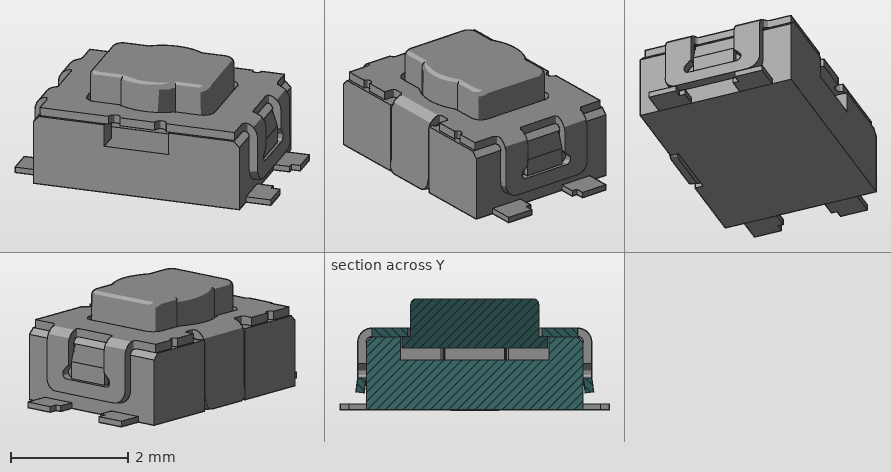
import cadquery as cq
import math

housing_length = 3.705
housing_width = 2.8
housing_top = 1.25
housing_chamfer = 0.1
half_length = housing_length / 2
half_width = housing_width / 2
channel_width = 1.16
channel_floor = 0.855
channel_rear_wall = 0.09
tab_side_gap = 0.02
cavity_gap = 0.025

latch_width = 0.75
latch_reach = 0.095
latch_bottom = 0.555
latch_slope_bottom = 0.855

sheet = 0.145
cover_top = housing_top + sheet
cover_length = housing_length - 2 * housing_chamfer
cover_width = 2.705
front_scallop_radius = 0.1
front_scallop_x = 0.415
rear_scallop_radius = 0.08
rear_scallop_x = 1.26
rear_notch_width = 1.525
rear_notch_depth = 0.202
notch_corner_radius = 0.065

lip_length = 0.24
strap_width = 1.75
strap_lip_start = 0.545
strap_lip_angle = 8
strap_lip_radius = 0.225
strap_root_radius = 0.1
window_width = 0.8
window_bottom = 0.547
window_root_radius = 0.055
lobe_y = 0.435
lobe_radius = 0.087
tab_width = 1.03
tab_lip_start = 0.255
tab_lip_angle = 12
tab_lip_radius = 0.15
tab_root_radius = 0.06

button_length = 2.195
button_flat_width = 1.515
button_bulge_radius = 0.9
button_corner_radius = 0.202
button_top = 1.9
button_top_radius = 0.1
button_gap = 0.05
flange_length = 2.485
flange_width = 1.98
flange_bottom = 1.055
plunger_radius = 0.37
plunger_length = 2 * plunger_radius
plunger_rise = 0.1

terminal_tip = 2.3
terminal_thickness = 0.1
terminal_outer_y = 1.05
terminal_inner_y = 0.547
terminal_root_inner_y = 0.445
terminal_step = 0.155


def block(x_range, y_range, z_range):
    """Box spanning the given (low, high) range on each axis."""
    size = [high - low for low, high in (x_range, y_range, z_range)]
    return cq.Workplane("XY").box(*size, centered=False).translate((x_range[0], y_range[0], z_range[0]))


def centered_block(length, width, bottom, top):
    return block((-length / 2, length / 2), (-width / 2, width / 2), (bottom, top))


def button_prism(gap, bottom, top):
    """Rounded rectangle with a round bulge front and back, grown outward by gap."""
    flat = centered_block(button_length + 2 * gap, button_flat_width + 2 * gap, bottom, top)
    flat = flat.edges("|Z").fillet(button_corner_radius)
    bulge = cq.Workplane("XY").workplane(offset=bottom).circle(button_bulge_radius + gap).extrude(top - bottom)
    return flat.union(bulge)


def make_latch():
    """Wedge on the +X end that snaps into the window of the cover strap."""
    outer_x = half_length + latch_reach
    profile = [
        (half_length, latch_bottom),
        (outer_x, latch_bottom),
        (outer_x, latch_slope_bottom),
        (half_length, housing_top - housing_chamfer),
    ]
    return cq.Workplane("XZ").polyline(profile).close().extrude(latch_width / 2, both=True)


def make_housing():
    body = centered_block(housing_length, housing_width, 0, housing_top)
    body = body.faces(">Z").edges("|Y").chamfer(housing_chamfer)

    channel_x = (-channel_width / 2, channel_width / 2)
    body = body.cut(block(channel_x, (-half_width, half_width - channel_rear_wall), (channel_floor, housing_top)))
    body = body.cut(
        centered_block(flange_length + 2 * cavity_gap, flange_width + 2 * cavity_gap, channel_floor, housing_top)
    )

    slot_half = tab_width / 2 + tab_side_gap
    body = body.cut(block((-slot_half, slot_half), (half_width - sheet, half_width), (0, housing_top)))

    latch = make_latch()
    return body.union(latch).union(latch.mirror("YZ"))


def strap_blank(root, outer, lip_start, lip_angle, width):
    """Sheet bent down along X: bend that starts at the root, straight run and flared lip."""
    angle = math.radians(lip_angle)
    bend_radius = outer - root
    bend_z = cover_top - bend_radius
    inner_radius = bend_radius - sheet
    diagonal = math.sqrt(0.5)
    lip_x = outer + lip_length * math.sin(angle)
    lip_z = lip_start - lip_length * math.cos(angle)
    return (
        cq.Workplane("XZ")
        .moveTo(root, cover_top)
        .threePointArc(
            (root + bend_radius * diagonal, bend_z + bend_radius * diagonal),
            (outer, bend_z),
        )
        .lineTo(outer, lip_start)
        .lineTo(lip_x, lip_z)
        .lineTo(lip_x - sheet * math.cos(angle), lip_z - sheet * math.sin(angle))
        .lineTo(outer - sheet, lip_start)
        .lineTo(outer - sheet, bend_z)
        .threePointArc(
            (root + inner_radius * diagonal, bend_z + inner_radius * diagonal),
            (root, cover_top - sheet),
        )
        .close()
        .extrude(width / 2, both=True)
    )


def root_fillet(root, edge_y, radius, side):
    """Vertical prism filling the inside corner between the plate edge and a strap edge."""
    far_y = edge_y + side * radius
    middle = radius * (1 - math.sqrt(0.5))
    return (
        cq.Workplane("XY")
        .moveTo(root, edge_y)
        .lineTo(root + radius, edge_y)
        .threePointArc((root + middle, edge_y + side * middle), (root, far_y))
        .close()
        .extrude(cover_top)
    )


def window_cutter(outer):
    """Strap window with a round lobe at each lower corner, cut through in X."""
    half = window_width / 2
    lobe_z = window_bottom + lobe_radius
    tangent_y = lobe_y + lobe_radius * math.sqrt(0.5)
    tangent_z = lobe_z + lobe_radius * math.sqrt(0.5)
    neck_z = tangent_z + tangent_y - half
    lobe_side_y = lobe_y + lobe_radius
    return (
        cq.Workplane("YZ")
        .moveTo(half, cover_top)
        .lineTo(half, neck_z)
        .lineTo(tangent_y, tangent_z)
        .threePointArc((lobe_side_y, lobe_z), (lobe_y, window_bottom))
        .lineTo(-lobe_y, window_bottom)
        .threePointArc((-lobe_side_y, lobe_z), (-tangent_y, tangent_z))
        .lineTo(-half, neck_z)
        .lineTo(-half, cover_top)
        .close()
        .extrude(outer)
    )


def add_root_fillets(strap, blank, root, half, radius, side):
    """Fill the root corners at y = +half and -half; side +1 fills outward, -1 inward."""
    for sign in (1, -1):
        strap = strap.union(root_fillet(root, sign * half, radius, sign * side).intersect(blank))
    return strap


def trim_strap(blank, root, width, lip_radius):
    """Cut the blank down to the strap width and round the lip corners."""
    reach = (root, terminal_tip)
    strap = blank.intersect(block(reach, (-width / 2, width / 2), (-sheet, cover_top)))
    return strap.faces("<Z").edges("#Y").fillet(lip_radius)


def make_end_strap():
    root = cover_length / 2
    outer = half_length + sheet
    blank_width = strap_width + 2 * strap_root_radius
    blank = strap_blank(root, outer, strap_lip_start, strap_lip_angle, blank_width)
    strap = trim_strap(blank, root, strap_width, strap_lip_radius)
    strap = strap.cut(window_cutter(outer))
    strap = add_root_fillets(strap, blank, root, strap_width / 2, strap_root_radius, 1)
    return add_root_fillets(strap, blank, root, window_width / 2, window_root_radius, -1)


def make_rear_tab():
    root = cover_width / 2 - rear_notch_depth
    blank_width = tab_width + 2 * tab_root_radius
    blank = strap_blank(root, half_width, tab_lip_start, tab_lip_angle, blank_width)
    tab = trim_strap(blank, root, tab_width, tab_lip_radius)
    tab = add_root_fillets(tab, blank, root, tab_width / 2, tab_root_radius, 1)
    return tab.rotate((0, 0, 0), (0, 0, 1), 90)


def make_cover():
    plate = centered_block(cover_length, cover_width, housing_top, cover_top)
    plate = plate.cut(button_prism(button_gap, housing_top, cover_top))

    for x, edge_y, radius in (
        (front_scallop_x, -cover_width / 2, front_scallop_radius),
        (rear_scallop_x, cover_width / 2, rear_scallop_radius),
    ):
        scallops = cq.Workplane("XY").pushPoints([(-x, edge_y), (x, edge_y)]).circle(radius).extrude(cover_top)
        plate = plate.cut(scallops)

    notch_x = (-rear_notch_width / 2, rear_notch_width / 2)
    notch_y = (cover_width / 2 - rear_notch_depth, cover_width / 2)
    notch = block(notch_x, notch_y, (housing_top, cover_top))
    plate = plate.cut(notch.edges("|Z and <Y").fillet(notch_corner_radius))

    end_strap = make_end_strap()
    return plate.union(end_strap).union(end_strap.mirror("YZ")).union(make_rear_tab())


def make_plunger():
    """Nose under the flange: round across X and across Y, resting on the channel floor."""
    nose_radius = flange_bottom - channel_floor
    disc_z = flange_bottom + plunger_rise
    nose = (
        cq.Workplane("YZ").center(0, flange_bottom).circle(nose_radius).extrude(plunger_length / 2, both=True)
    )
    disc = cq.Workplane("XZ").center(0, disc_z).circle(plunger_radius).extrude(nose_radius, both=True)
    return nose.intersect(disc)


def make_button():
    shaft = button_prism(0, flange_bottom, button_top)
    shaft = shaft.faces(">Z").edges().fillet(button_top_radius)
    flange = centered_block(flange_length, flange_width, flange_bottom, housing_top)
    return shaft.union(flange).union(make_plunger())


def make_terminal(x_side, y_side):
    """Stepped solder foot butting against a housing end."""
    step_x = terminal_tip - terminal_step
    outline = [
        (half_length, terminal_outer_y),
        (terminal_tip, terminal_outer_y),
        (terminal_tip, terminal_inner_y),
        (step_x, terminal_inner_y),
        (step_x, terminal_root_inner_y),
        (half_length, terminal_root_inner_y),
    ]
    placed = [(x_side * x, y_side * y) for x, y in outline]
    return cq.Workplane("XY").polyline(placed).close().extrude(terminal_thickness)


housing = make_housing()
cover = make_cover()
button = make_button()
terminals = [make_terminal(x_side, y_side) for x_side in (-1, 1) for y_side in (-1, 1)]

result = cq.Compound.makeCompound(
    [housing.val(), cover.val(), button.val(), *[terminal.val() for terminal in terminals]]
)